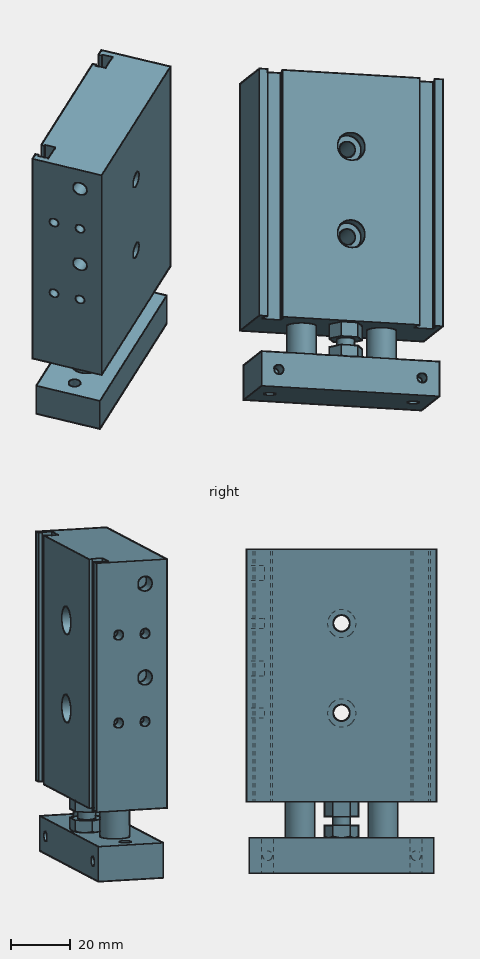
import cadquery as cq
import math

TOTAL_HEIGHT = 109.0
PLATE_HEIGHT = 12.0
STROKE_GAP = 12.0
HOUSING_BOTTOM = PLATE_HEIGHT + STROKE_GAP

HOUSING_DEPTH = 25.0
HOUSING_WIDTH = 64.0
HOUSING_HEIGHT = TOTAL_HEIGHT - HOUSING_BOTTOM
MOUNT_FACE_X = -HOUSING_DEPTH / 2
SIDE_FACE_Y = -HOUSING_WIDTH / 2

SLOT_CENTER_Y = HOUSING_WIDTH / 2 - 5.5
SLOT_OPENING = 5.2
SLOT_CAVITY_WIDTH = 6.4
SLOT_LIP = 1.2
SLOT_DEPTH = 4.9

MOUNT_LEVELS = [TOTAL_HEIGHT - 25.0, TOTAL_HEIGHT - 55.0]
MOUNT_HOLE_DIAMETER = 5.5
COUNTERBORE_DIAMETER = 9.5
COUNTERBORE_DEPTH = 5.0
SIDE_HOLE_X = 4.7
SIDE_HOLE_DIAMETER = 3.3
SIDE_HOLE_DEPTH = 6.0
PORT_LEVELS = [TOTAL_HEIGHT - 8.0, TOTAL_HEIGHT - 40.0]
PORT_DIAMETER = 5.0
PORT_DEPTH = 6.0

PLATE_DEPTH = 23.0
PLATE_WIDTH = 62.0
PLATE_HOLE_Y = 25.0
PLATE_FRONT_HOLE_DIAMETER = 3.3
PLATE_FRONT_HOLE_DEPTH = 6.0
PLATE_VERTICAL_HOLE_DIAMETER = 4.0
ROD_DIAMETER = 10.0
ROD_Y = 14.0

BOLT_X = MOUNT_FACE_X + 7.2
HEX_ACROSS_FLATS = 10.0
HEX_ACROSS_CORNERS = HEX_ACROSS_FLATS / math.cos(math.pi / 6)
HEAD_HEIGHT = 4.9
NUT_HEIGHT = 4.1
BOLT_DIAMETER = 6.0
NUT_CHAMFER_ANGLE = math.radians(30)


def cylinder_along(start, direction, diameter, length):
    return cq.Workplane(
        cq.Solid.makeCylinder(diameter / 2, length, cq.Vector(*start), cq.Vector(*direction))
    )


def cut_t_slot(body, center_y):
    opening = cq.Workplane("XY").box(
        SLOT_DEPTH, SLOT_OPENING, HOUSING_HEIGHT, centered=(False, True, False)
    )
    cavity = (
        cq.Workplane("XY")
        .box(SLOT_DEPTH - SLOT_LIP, SLOT_CAVITY_WIDTH, HOUSING_HEIGHT, centered=(False, True, False))
        .translate((SLOT_LIP, 0, 0))
    )
    return body.cut(opening.union(cavity).translate((MOUNT_FACE_X, center_y, HOUSING_BOTTOM)))


def make_housing():
    body = (
        cq.Workplane("XY")
        .box(HOUSING_DEPTH, HOUSING_WIDTH, HOUSING_HEIGHT, centered=(True, True, False))
        .translate((0, 0, HOUSING_BOTTOM))
    )
    for side in (-1, 1):
        body = cut_t_slot(body, side * SLOT_CENTER_Y)

    for level in MOUNT_LEVELS:
        mount_start = (MOUNT_FACE_X, 0, level)
        body = body.cut(cylinder_along(mount_start, (1, 0, 0), MOUNT_HOLE_DIAMETER, HOUSING_DEPTH))
        body = body.cut(cylinder_along(mount_start, (1, 0, 0), COUNTERBORE_DIAMETER, COUNTERBORE_DEPTH))
        for x in (-SIDE_HOLE_X, SIDE_HOLE_X):
            side_start = (x, SIDE_FACE_Y, level)
            body = body.cut(cylinder_along(side_start, (0, 1, 0), SIDE_HOLE_DIAMETER, SIDE_HOLE_DEPTH))

    for level in PORT_LEVELS:
        port_start = (SIDE_HOLE_X, SIDE_FACE_Y, level)
        body = body.cut(cylinder_along(port_start, (0, 1, 0), PORT_DIAMETER, PORT_DEPTH))
    return body


def make_rod_plate():
    body = cq.Workplane("XY").box(PLATE_DEPTH, PLATE_WIDTH, PLATE_HEIGHT, centered=(True, True, False))
    for side in (-1, 1):
        hole_y = side * PLATE_HOLE_Y
        front_start = (-PLATE_DEPTH / 2, hole_y, PLATE_HEIGHT / 2)
        body = body.cut(cylinder_along(front_start, (1, 0, 0), PLATE_FRONT_HOLE_DIAMETER, PLATE_FRONT_HOLE_DEPTH))
        vertical_start = (0, hole_y, 0)
        body = body.cut(cylinder_along(vertical_start, (0, 0, 1), PLATE_VERTICAL_HOLE_DIAMETER, PLATE_HEIGHT))
        rod_start = (0, side * ROD_Y, PLATE_HEIGHT)
        body = body.union(cylinder_along(rod_start, (0, 0, 1), ROD_DIAMETER, STROKE_GAP))
    return body


def hexagon(bottom, height):
    return (
        cq.Workplane("XY", origin=(BOLT_X, 0, bottom))
        .polygon(6, HEX_ACROSS_CORNERS)
        .extrude(height)
        .rotate((BOLT_X, 0, 0), (BOLT_X, 0, 1), 90)
    )


def make_stop_bolt():
    shank = cylinder_along((BOLT_X, 0, PLATE_HEIGHT), (0, 0, 1), BOLT_DIAMETER, STROKE_GAP)
    head = hexagon(HOUSING_BOTTOM - HEAD_HEIGHT, HEAD_HEIGHT)

    cone_growth = NUT_HEIGHT / math.tan(NUT_CHAMFER_ANGLE)
    cone = cq.Workplane(
        cq.Solid.makeCone(
            HEX_ACROSS_FLATS / 2,
            HEX_ACROSS_FLATS / 2 + cone_growth,
            NUT_HEIGHT,
            cq.Vector(BOLT_X, 0, PLATE_HEIGHT),
        )
    )
    nut = hexagon(PLATE_HEIGHT, NUT_HEIGHT).intersect(cone)
    return shank.union(head).union(nut)


housing = make_housing()
rod_plate = make_rod_plate()
stop_bolt = make_stop_bolt()

result = cq.Compound.makeCompound([housing.val(), rod_plate.val(), stop_bolt.val()])